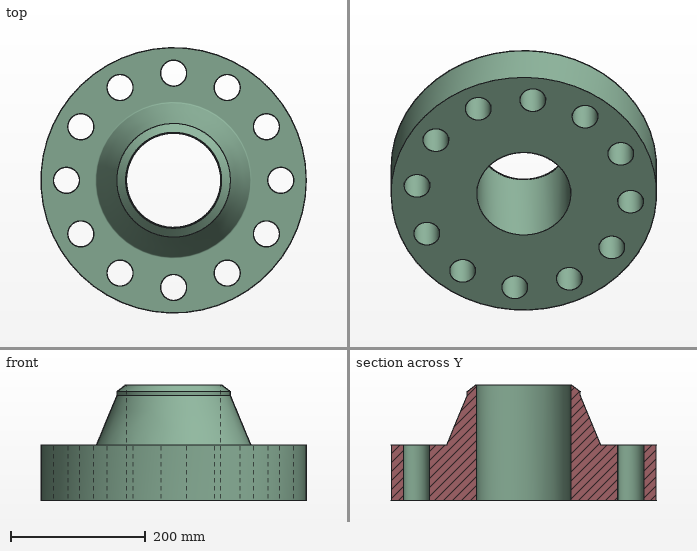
import cadquery as cq
import math

flange_diameter = 393.5
flange_thickness = 82.5
overall_height = 171.5

bolt_circle_diameter = 317.5
bolt_hole_diameter = 38.0
bolt_hole_count = 12

hub_base_diameter = 229.0
neck_diameter = 168.5
neck_land_height = 6.0
hub_fillet_radius = 2.5
bore_diameter = 139.5
weld_root_width = 1.5
weld_bevel_angle = 37.5

flange_radius = flange_diameter / 2
hub_base_radius = hub_base_diameter / 2
neck_radius = neck_diameter / 2
bore_radius = bore_diameter / 2
weld_root_radius = bore_radius + weld_root_width
bevel_height = (neck_radius - weld_root_radius) * math.tan(math.radians(weld_bevel_angle))
bevel_start_z = overall_height - bevel_height
hub_top_z = bevel_start_z - neck_land_height


def flange_body():
    """Revolved plate, conical hub, short cylindrical land, weld bevel and bore."""
    half_section = (
        cq.Workplane("XZ")
        .moveTo(bore_radius, 0)
        .lineTo(flange_radius, 0)
        .lineTo(flange_radius, flange_thickness)
        .lineTo(hub_base_radius, flange_thickness)
        .lineTo(neck_radius, hub_top_z)
        .lineTo(neck_radius, bevel_start_z)
        .lineTo(weld_root_radius, overall_height)
        .lineTo(bore_radius, overall_height)
        .close()
    )
    return half_section.revolve(360, (0, 0, 0), (0, 1, 0))


def fillet_hub_base(body):
    """Round the inside corner where the cone meets the flange face."""
    hub_base_edge = cq.selectors.RadiusNthSelector(-2)
    return body.edges("%CIRCLE").edges(hub_base_edge).fillet(hub_fillet_radius)


def bolt_holes():
    """Cylinders that cut the evenly spaced through holes."""
    return (
        cq.Workplane("XY")
        .polarArray(bolt_circle_diameter / 2, 0, 360, bolt_hole_count)
        .circle(bolt_hole_diameter / 2)
        .extrude(flange_thickness)
    )


result = fillet_hub_base(flange_body()).cut(bolt_holes())